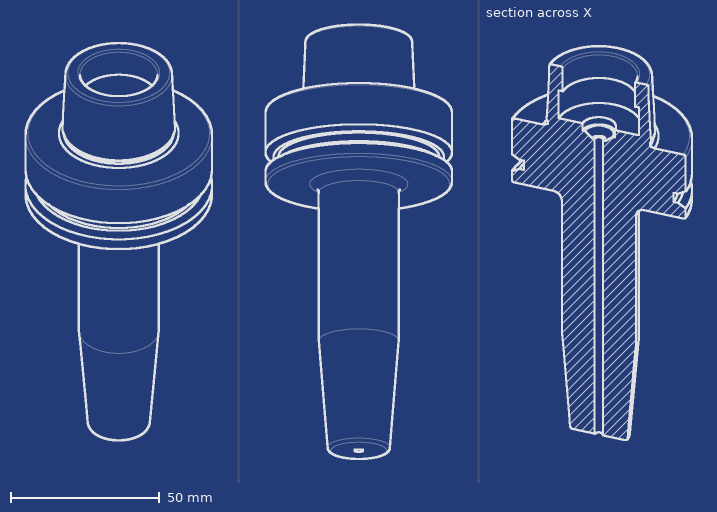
import cadquery as cq
import math

total_length = 145.0

tip_radius = 10.5
neck_radius = 13.5
neck_taper_angle = math.radians(4.5)
tip_edge_fillet = 1.2
neck_root_fillet = 3.0

flange_radius = 31.5
flange_height = 26.0
flange_edge_fillet = 0.9

groove_floor_radius = 27.1
groove_wall_inner_radius = 28.7
groove_floor_width = 3.5
groove_top_above_flange_bottom = 9.5
groove_wall_angle = math.radians(30)

shank_length = 25.0
shank_top_radius = 18.0
shank_base_radius = 19.0
shank_edge_fillet = 0.9
relief_radius = 18.5
relief_top_height = 2.3
relief_slope_height = 0.9
collar_radius = 20.2
collar_height = 0.6

lip_radius = 13.0
lip_depth = 10.0
lip_fillet = 0.7
chamber_radius = 14.5
socket_depth = 21.0

passage_radius = 5.8
passage_depth = 2.9
cone_top_radius = 5.1
cone_bottom_radius = 2.3
cone_slope = math.radians(40)
coolant_hole_radius = 1.5

flange_top = total_length - shank_length
flange_bottom = flange_top - flange_height
neck_cone_height = (neck_radius - tip_radius) / math.tan(neck_taper_angle)
groove_floor_top = flange_bottom + groove_top_above_flange_bottom
groove_floor_bottom = groove_floor_top - groove_floor_width
groove_wall_rise = (flange_radius - groove_wall_inner_radius) * math.tan(groove_wall_angle)
relief_top = flange_top + relief_top_height
socket_floor = total_length - socket_depth


def make_neck():
    """Tapered nose and cylindrical neck, with a rounded tip edge."""
    neck = (
        cq.Workplane("XZ")
        .moveTo(0, 0)
        .lineTo(tip_radius, 0)
        .lineTo(neck_radius, neck_cone_height)
        .lineTo(neck_radius, flange_bottom)
        .lineTo(0, flange_bottom)
        .close()
        .revolve(360, (0, 0), (0, 1))
    )
    return neck.faces("<Z").edges().fillet(tip_edge_fillet)


def make_neck_root():
    """Concave ring blending the neck into the underside of the flange."""
    center_radius = neck_radius + neck_root_fillet
    center_height = flange_bottom - neck_root_fillet
    diagonal = neck_root_fillet * math.sqrt(0.5)
    return (
        cq.Workplane("XZ")
        .moveTo(0, center_height)
        .lineTo(neck_radius, center_height)
        .threePointArc(
            (center_radius - diagonal, center_height + diagonal),
            (center_radius, flange_bottom),
        )
        .lineTo(0, flange_bottom)
        .close()
        .revolve(360, (0, 0), (0, 1))
    )


def make_flange():
    """Flange with rounded edges and a gripper groove turned into its rim."""
    disc = (
        cq.Workplane("XY", origin=(0, 0, flange_bottom))
        .circle(flange_radius)
        .extrude(flange_height)
        .edges()
        .fillet(flange_edge_fillet)
    )
    groove = (
        cq.Workplane("XZ")
        .moveTo(groove_floor_radius, groove_floor_bottom)
        .lineTo(groove_wall_inner_radius, groove_floor_bottom)
        .lineTo(flange_radius, groove_floor_bottom - groove_wall_rise)
        .lineTo(flange_radius, groove_floor_top + groove_wall_rise)
        .lineTo(groove_wall_inner_radius, groove_floor_top)
        .lineTo(groove_floor_radius, groove_floor_top)
        .close()
        .revolve(360, (0, 0), (0, 1))
    )
    return disc.cut(groove)


def make_shank():
    """Taper shank on a slightly thinner relief that flares into a low sloped collar."""
    shank = (
        cq.Workplane("XZ")
        .moveTo(0, flange_top)
        .lineTo(collar_radius, flange_top)
        .lineTo(relief_radius, flange_top + collar_height)
        .lineTo(relief_radius, relief_top - relief_slope_height)
        .lineTo(shank_base_radius, relief_top)
        .lineTo(shank_top_radius, total_length)
        .lineTo(0, total_length)
        .close()
        .revolve(360, (0, 0), (0, 1))
    )
    return shank.faces(">Z").edges().fillet(shank_edge_fillet)


def make_bore():
    """Socket, stepped conical passage and coolant hole as one turned cutter."""
    lip_arc_inset = lip_fillet * (1 - math.sqrt(0.5))
    lip_bottom = total_length - lip_depth
    passage_floor = socket_floor - passage_depth
    cone_bottom = passage_floor - (cone_top_radius - cone_bottom_radius) * math.tan(cone_slope)
    return (
        cq.Workplane("XZ")
        .moveTo(0, 0)
        .lineTo(coolant_hole_radius, 0)
        .lineTo(coolant_hole_radius, cone_bottom)
        .lineTo(cone_bottom_radius, cone_bottom)
        .lineTo(cone_top_radius, passage_floor)
        .lineTo(passage_radius, passage_floor)
        .lineTo(passage_radius, socket_floor)
        .lineTo(chamber_radius, socket_floor)
        .lineTo(chamber_radius, lip_bottom)
        .lineTo(lip_radius, lip_bottom)
        .lineTo(lip_radius, total_length - lip_fillet)
        .threePointArc(
            (lip_radius + lip_arc_inset, total_length - lip_arc_inset),
            (lip_radius + lip_fillet, total_length),
        )
        .lineTo(0, total_length)
        .close()
        .revolve(360, (0, 0), (0, 1))
    )


holder = make_neck().union(make_neck_root()).union(make_flange()).union(make_shank())
result = holder.cut(make_bore())